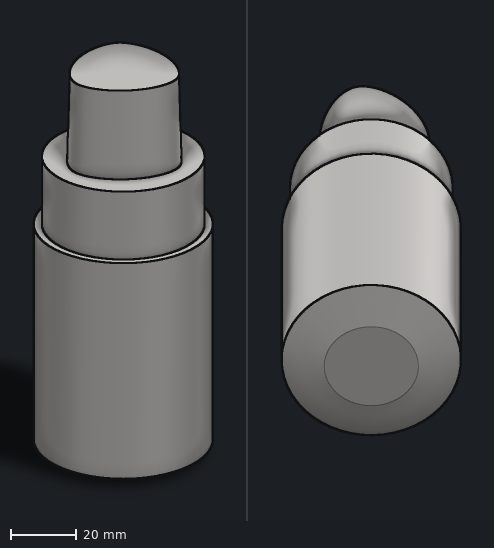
import cadquery as cq
import math

total_height = 130.0
cone_height = 3.4
body_top = 77.0
collar_top = 100.1

body_radius = 55.0 / 2
collar_radius = 49.9 / 2
bottom_face_radius = 14.4

shank_base_radius = 17.5
shank_taper = 1 / 40
lobe_size = 1.2
lobe_count = 3
outline_points = 48


def lobed_point(angle, mean_radius):
    """Point on a constant-width outline with one lobe facing -Y.

    The tangent line facing the given angle lies at distance "reach" from the axis,
    and "slope" is the rate of change of that distance with the angle.
    """
    reach = mean_radius + lobe_size * math.sin(lobe_count * angle)
    slope = lobe_count * lobe_size * math.cos(lobe_count * angle)
    x = reach * math.cos(angle) - slope * math.sin(angle)
    y = reach * math.sin(angle) + slope * math.cos(angle)
    return x, y


def make_turned_body():
    """Solid of revolution: bottom cone, main cylinder and collar."""
    profile = [
        (0, 0),
        (bottom_face_radius, 0),
        (body_radius, cone_height),
        (body_radius, body_top),
        (collar_radius, body_top),
        (collar_radius, collar_top),
        (0, collar_top),
    ]
    return cq.Workplane("XZ").polyline(profile).close().revolve(360, (0, 0), (0, 1))


def lobed_wire(mean_radius, height):
    """Closed smooth lobed outline at the given height."""
    angles = [2 * math.pi * i / outline_points for i in range(outline_points)]
    points = [cq.Vector(*lobed_point(angle, mean_radius), height) for angle in angles]
    return cq.Wire.assembleEdges([cq.Edge.makeSpline(points, periodic=True)])


def make_shank():
    """Lobed shank tapering from the collar up to the top face."""
    shank_top_radius = shank_base_radius - shank_taper * (total_height - collar_top)
    base = lobed_wire(shank_base_radius, collar_top)
    top = lobed_wire(shank_top_radius, total_height)
    return cq.Solid.makeLoft([base, top], True)


result = make_turned_body().union(cq.Workplane(obj=make_shank()))